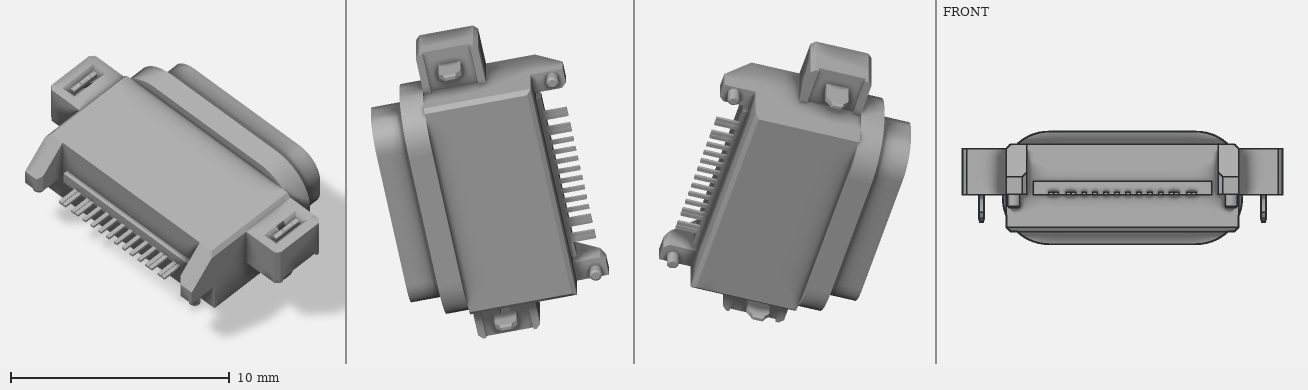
import cadquery as cq

OVERLAP = 0.1

ARC_CENTRE_X = 3.36
ARC_CENTRE_Z = 0.46
PLUG_RADIUS = 1.31
FLANGE_RADIUS = 2.12
FLANGE_THICKNESS = 1.10
SHELL_LENGTH = 2.60

HOUSING_WIDTH = 10.63
HOUSING_HEIGHT = 4.0
HOUSING_DEPTH = 4.98
EDGE_CHAMFER = 0.2
LEG_REACH = 1.5
LEG_WIDTH = 0.94
LEG_BOTTOM = -0.29
LEG_CHAMFER = 0.22

PEG_DIAMETER = 0.55
PEG_X = 4.97
PEG_Y = -5.93
PEG_BOTTOM = -0.92
PEG_CHAMFER = 0.09

SPAN = 14.64
TAB_DEPTH = 2.90
TAB_TOP = 1.80
TAB_BOTTOM = -0.32
TAB_CHAMFER = 0.2
NOTCH_WIDTH = 2.21
NOTCH_HEIGHT = 0.21

POCKET_X = 6.44
POCKET_WIDTH = 0.78
POCKET_LENGTH = 2.04
POCKET_DEPTH = 0.26
POCKET_TAPER = 45
OPENING_LENGTH = 0.46

PIN_X = 6.45
PIN_THICKNESS = 0.24
PIN_WIDTH = 1.03
PIN_BOTTOM = -1.565
PIN_TAPER_START = -1.12
PIN_TIP_HEIGHT = 0.18
PIN_TIP_WIDTH = 0.58
PIN_TIP_BEVEL = 0.08
PIN_HEAD_WIDTH = 1.5
PIN_HEAD_BOTTOM = 0.5
PIN_SHOULDER = 1.76
PIN_BUMP_OUTER = 0.42
PIN_BUMP_INNER = 0.2
PIN_BUMP_HEIGHT = 0.035
PIN_CREST = TAB_TOP
PIN_EDGE_CHAMFER = 0.05

BAR_WIDTH = 8.16
BAR_TOP = 0.30
BAR_REACH = 0.24
CONTACT_WIDTH = 0.2
CONTACT_HEIGHT = 0.13
CONTACT_END = -6.27
SIGNAL_CONTACTS = 8
SIGNAL_PITCH = 0.5
PAIR_CENTRES = (2.36, 3.155)
PAIR_PITCH = 0.23

TAB_CENTRE_Y = -TAB_DEPTH / 2
LEG_END = -HOUSING_DEPTH - LEG_REACH


def box(x0, x1, y0, y1, z0, z1):
    """Box between opposite corners."""
    return cq.Workplane("XY").box(x1 - x0, y1 - y0, z1 - z0, centered=False).translate((x0, y0, z0))


def rounded_block(radius, y0, y1):
    """Block along Y whose corner arcs sit on the shared arc centres."""
    width = 2 * (ARC_CENTRE_X + radius)
    height = 2 * (ARC_CENTRE_Z + radius)
    block = cq.Workplane("XY").box(width, y1 - y0, height).edges("|Y").fillet(radius)
    return block.translate((0, (y0 + y1) / 2, 0))


def make_shell():
    flange = rounded_block(FLANGE_RADIUS, 0, FLANGE_THICKNESS)
    plug = rounded_block(PLUG_RADIUS, 0, SHELL_LENGTH)
    return flange.union(plug)


def make_housing():
    """Housing with two legs, both cut from one edge-chamfered bar."""
    half_width = HOUSING_WIDTH / 2
    half_height = HOUSING_HEIGHT / 2
    bar_length = -LEG_END
    bar = cq.Workplane("XY").box(HOUSING_WIDTH, bar_length, HOUSING_HEIGHT)
    bar = bar.edges("|Y").chamfer(EDGE_CHAMFER)
    bar = bar.translate((0, -bar_length / 2, 0))

    outline = [
        (0, half_height),
        (-HOUSING_DEPTH, half_height),
        (LEG_END, half_height - LEG_REACH),
        (LEG_END, LEG_BOTTOM),
        (-HOUSING_DEPTH, LEG_BOTTOM),
        (-HOUSING_DEPTH, EDGE_CHAMFER - half_height),
        (EDGE_CHAMFER - HOUSING_DEPTH, -half_height),
        (0, -half_height),
    ]
    side = cq.Workplane("YZ").polyline(outline).close().extrude(half_width, both=True)

    inner = half_width - LEG_WIDTH
    gap = [
        (-inner, -HOUSING_DEPTH),
        (inner, -HOUSING_DEPTH),
        (inner, LEG_END + LEG_CHAMFER),
        (inner + LEG_CHAMFER, LEG_END),
        (-inner - LEG_CHAMFER, LEG_END),
        (-inner, LEG_END + LEG_CHAMFER),
    ]
    clearance = cq.Workplane("XY").polyline(gap).close().extrude(half_height, both=True)
    return bar.intersect(side).cut(clearance)


def make_peg():
    height = LEG_BOTTOM + OVERLAP - PEG_BOTTOM
    peg = cq.Workplane("XY").circle(PEG_DIAMETER / 2).extrude(height)
    return peg.faces("<Z").chamfer(PEG_CHAMFER).translate((PEG_X, PEG_Y, PEG_BOTTOM))


def make_tab():
    tab = box(HOUSING_WIDTH / 2 - OVERLAP, SPAN / 2, -TAB_DEPTH, 0, TAB_BOTTOM, TAB_TOP)
    tab = tab.edges("|Z and >X").chamfer(TAB_CHAMFER)
    notch = box(
        HOUSING_WIDTH / 2,
        SPAN / 2,
        TAB_CENTRE_Y - NOTCH_WIDTH / 2,
        TAB_CENTRE_Y + NOTCH_WIDTH / 2,
        TAB_BOTTOM,
        TAB_BOTTOM + NOTCH_HEIGHT,
    )
    pocket = (
        cq.Workplane("XY", origin=(POCKET_X, TAB_CENTRE_Y, TAB_TOP))
        .rect(POCKET_WIDTH, POCKET_LENGTH)
        .extrude(-POCKET_DEPTH, taper=POCKET_TAPER)
    )
    opening = box(
        POCKET_X - POCKET_WIDTH / 2,
        PIN_X,
        TAB_CENTRE_Y - OPENING_LENGTH / 2,
        TAB_CENTRE_Y + OPENING_LENGTH / 2,
        TAB_BOTTOM,
        TAB_TOP,
    )
    return tab.cut(notch).cut(pocket).cut(opening)


def make_pin():
    """Flat pin with a wide head, a crest between two rounded bumps, and a tapered lower tip."""
    bump_top = PIN_SHOULDER + PIN_BUMP_HEIGHT
    bump_centre = (PIN_BUMP_OUTER + PIN_BUMP_INNER) / 2
    tip_side_top = PIN_BOTTOM + PIN_TIP_HEIGHT
    bevel_top = PIN_BOTTOM + PIN_TIP_BEVEL
    half_tip = PIN_TIP_WIDTH / 2
    half_width = PIN_WIDTH / 2
    half_head = PIN_HEAD_WIDTH / 2
    half_plate = (
        cq.Workplane("YZ")
        .moveTo(0, PIN_BOTTOM)
        .lineTo(half_tip - PIN_TIP_BEVEL, PIN_BOTTOM)
        .lineTo(half_tip, bevel_top)
        .lineTo(half_tip, tip_side_top)
        .lineTo(half_width, PIN_TAPER_START)
        .lineTo(half_width, PIN_HEAD_BOTTOM)
        .lineTo(half_head, PIN_HEAD_BOTTOM)
        .lineTo(half_head, PIN_SHOULDER)
        .lineTo(PIN_BUMP_OUTER, PIN_SHOULDER)
        .threePointArc((bump_centre, bump_top), (PIN_BUMP_INNER, PIN_SHOULDER))
        .lineTo(PIN_BUMP_INNER, PIN_CREST)
        .lineTo(0, PIN_CREST)
        .close()
        .extrude(PIN_THICKNESS / 2, both=True)
    )
    plate = half_plate.union(half_plate.mirror("XZ"))
    plate = plate.faces(">Z").edges("|Y").chamfer(PIN_EDGE_CHAMFER)

    half_thickness = PIN_THICKNESS / 2
    thin_end = half_thickness - PIN_EDGE_CHAMFER
    thickness_outline = [
        (-thin_end, PIN_BOTTOM),
        (thin_end, PIN_BOTTOM),
        (half_thickness, tip_side_top),
        (half_thickness, PIN_CREST),
        (-half_thickness, PIN_CREST),
        (-half_thickness, tip_side_top),
    ]
    envelope = cq.Workplane("XZ").polyline(thickness_outline).close().extrude(PIN_HEAD_WIDTH, both=True)
    return plate.intersect(envelope).translate((PIN_X, TAB_CENTRE_Y, 0))


def contact_positions():
    """X of every contact: evenly spaced signals, then two close pairs on each side."""
    first = -(SIGNAL_CONTACTS - 1) / 2 * SIGNAL_PITCH
    positions = [first + i * SIGNAL_PITCH for i in range(SIGNAL_CONTACTS)]
    for centre in PAIR_CENTRES:
        for side in (-1, 1):
            for offset in (-PAIR_PITCH / 2, PAIR_PITCH / 2):
                positions.append(side * centre + offset)
    return positions


def make_contacts():
    bar_end = -HOUSING_DEPTH - BAR_REACH
    bar_start = OVERLAP - HOUSING_DEPTH
    contacts = box(-BAR_WIDTH / 2, BAR_WIDTH / 2, bar_end, bar_start, TAB_BOTTOM, BAR_TOP)
    for x in contact_positions():
        contact = box(
            x - CONTACT_WIDTH / 2,
            x + CONTACT_WIDTH / 2,
            CONTACT_END,
            bar_end + OVERLAP,
            TAB_BOTTOM,
            TAB_BOTTOM + CONTACT_HEIGHT,
        )
        contacts = contacts.union(contact)
    return contacts


side_parts = make_tab().union(make_pin()).union(make_peg())

result = make_housing().union(make_shell()).union(make_contacts())
result = result.union(side_parts).union(side_parts.mirror("YZ"))